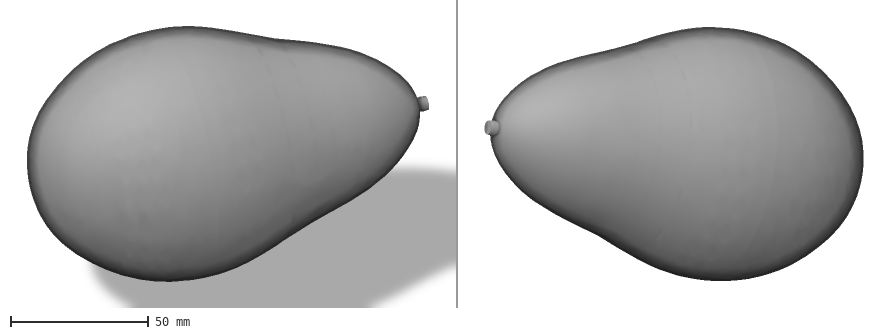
import cadquery as cq

total_length = 150.8
max_radius = 46.1
belly_y = 55.8

stem_length = 3.6
stem_radius = 2.5
stem_bulge = 0.23
stem_base_y = total_length - stem_length

shoulder = (41.2, 81.0)
waist = (34.4, 99.1)
neck = (28.7, 117.3)
narrow_end = (19.0, 135.5)
crown = (10.9, 143.5)
stem_root = (stem_radius, stem_base_y)

belly_direction = (0, 1)
stem_root_direction = (-1, 0.25)

quarter_root = 0.5 ** 0.5
blunt_mid = (max_radius * quarter_root, belly_y * (1 - quarter_root))


def half_profile():
    """Half section in the XY plane, closed along the axis of revolution."""
    return (
        cq.Workplane("XY")
        .spline([(0, 0), blunt_mid, (max_radius, belly_y)],
                tangents=[(1, 0), belly_direction])
        .spline([shoulder, waist, neck, narrow_end, crown, stem_root],
                tangents=[belly_direction, stem_root_direction], includeCurrent=True)
        .threePointArc((stem_radius + stem_bulge, stem_base_y + stem_length / 2),
                       (stem_radius, total_length))
        .lineTo(0, total_length)
        .close()
    )


result = half_profile().revolve(360, (0, 0, 0), (0, 1, 0))